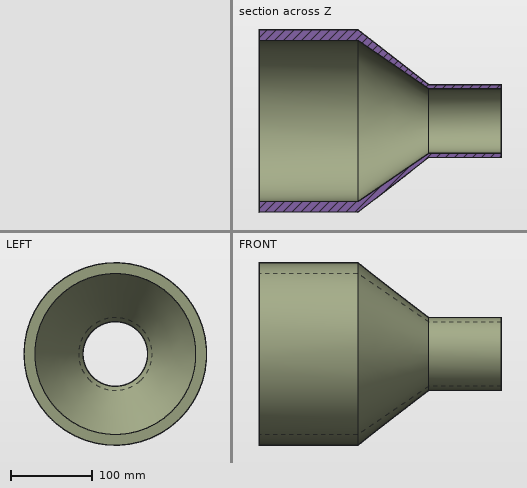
import cadquery as cq

total_length = 298.0
large_length = 121.5
small_length = 89.5
small_start = total_length - small_length

large_outer_diameter = 225.0
large_bore_diameter = 198.2
small_outer_diameter = 90.0
small_bore_diameter = 79.3


def reducer_body(large_diameter, small_diameter):
    """Solid of revolution about X: large cylinder, cone, small cylinder."""
    large_radius = large_diameter / 2
    small_radius = small_diameter / 2
    profile = [
        (0, 0),
        (0, large_radius),
        (large_length, large_radius),
        (small_start, small_radius),
        (total_length, small_radius),
        (total_length, 0),
    ]
    return cq.Workplane("XY").polyline(profile).close().revolve(360, (0, 0, 0), (1, 0, 0))


outer = reducer_body(large_outer_diameter, small_outer_diameter)
bore = reducer_body(large_bore_diameter, small_bore_diameter)
result = outer.cut(bore)